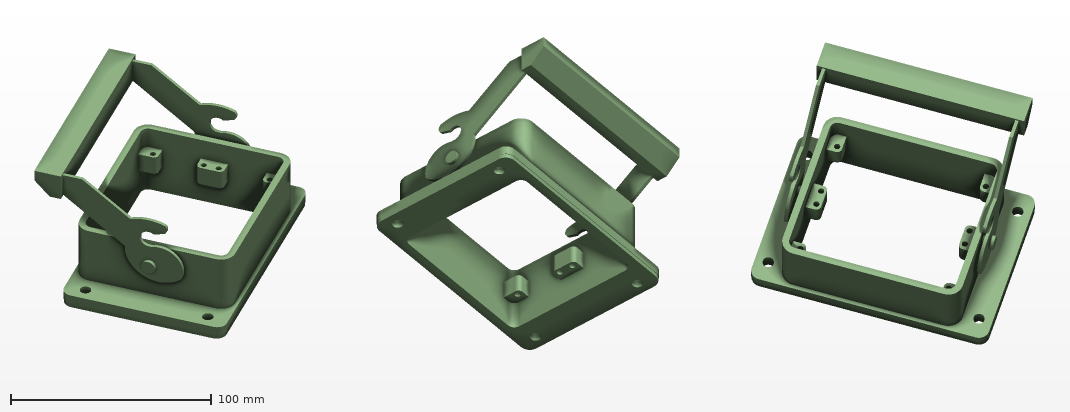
import cadquery as cq
import math

gasket_thickness = 2.4
flange_top = 7.2
flange_length = 124.0
flange_width = 86.5
flange_corner_radius = 5.2
gasket_width = 86.0
gasket_corner_radius = 5.5
screw_hole_diameter = 5.7
screw_spacing_x = 65.0
screw_spacing_y = 110.1

wall_top = 37.8
wall_thickness = 3.5
box_width = 82.6
box_length = 94.0
box_corner_radius = 7.5
opening_width = box_width - 2 * wall_thickness
opening_length = box_length - 2 * wall_thickness
opening_corner_radius = box_corner_radius - wall_thickness

boss_top = 26.3
boss_height = 10.2
boss_depth = 7.5
boss_edge_radius = 2.5
boss_hole_diameter = 3.1
boss_hole_y = 38.8
corner_boss_inner_x = 27.8
corner_boss_hole_x = 31.0
middle_boss_half_width = 7.2
middle_boss_hole_x = 4.0

pivot_z = 28.0
pin_radius = 2.5
pin_head_radius = 3.6
pin_head_thickness = 1.9

arm_inner_y = 49.6
arm_thickness = 1.7
arm_outer_y = arm_inner_y + arm_thickness
grip_left = -60.0
grip_right = -45.9
grip_bottom = 59.8
grip_top = 73.8
grip_chamfer = 8.2
grip_length = 108.4

shank_top_z = 72.7
shank_top_end_x = -35.7
shank_bottom_z = 60.6
elbow = (-9.9, 54.4)
neck_x = -12.9
neck_top_z = 37.1

finger_crown = (0.4, 56.3)
finger_tip_x = 9.4
finger_end_x = 8.0
finger_end_top_z = 54.9
finger_end_bottom_z = 49.8

notch_center = (-0.4, 44.5)
notch_radius = 4.5
notch_mouth_x = 2.4
lobe_center = (5.3, pivot_z)
lobe_radius = 12.6
belly_center = (4.8, 37.2)
belly_radius = 18.0
heel_radius = 4.3


def point_at_x(center, radius, x, side):
    """Point on a circle at a given x, on its upper (side=1) or lower (side=-1) half."""
    return (x, center[1] + side * math.sqrt(radius**2 - (x - center[0])**2))


def rounded_block(width, length, corner_radius, bottom, top):
    return (
        cq.Workplane("XY", origin=(0, 0, bottom))
        .rect(width, length)
        .extrude(top - bottom)
        .edges("|Z")
        .fillet(corner_radius)
    )


def cylinder_along_y(radius, start_y, end_y):
    """Cylinder on the pivot axis between two y positions, start_y being the smaller."""
    return (
        cq.Workplane("XZ", origin=(0, start_y, pivot_z))
        .circle(radius)
        .extrude(start_y - end_y)
    )


def box_block():
    return rounded_block(box_width, box_length, box_corner_radius, gasket_thickness, wall_top)


def box_opening():
    return rounded_block(opening_width, opening_length, opening_corner_radius, 0, wall_top)


def screw_holes():
    return (
        cq.Workplane("XY")
        .rect(screw_spacing_x, screw_spacing_y, forConstruction=True)
        .vertices()
        .circle(screw_hole_diameter / 2)
        .extrude(flange_top)
    )


def boss(start_x, end_x, rounded_edges, hole_xs):
    """Boss on the +Y wall between two x positions, with through holes."""
    inner_y = opening_length / 2 - boss_depth
    outer_y = box_length / 2 - wall_thickness / 2
    body = (
        cq.Workplane("XY", origin=(0, 0, boss_top - boss_height))
        .moveTo(start_x, inner_y)
        .lineTo(end_x, inner_y)
        .lineTo(end_x, outer_y)
        .lineTo(start_x, outer_y)
        .close()
        .extrude(boss_height)
        .edges(rounded_edges)
        .fillet(boss_edge_radius)
    )
    holes = (
        cq.Workplane("XY", origin=(0, 0, boss_top - boss_height))
        .pushPoints([(x, boss_hole_y) for x in hole_xs])
        .circle(boss_hole_diameter / 2)
        .extrude(boss_height)
    )
    return body.cut(holes)


def wall_bosses():
    """The three bosses of the +Y wall, the corner ones following the round corner of the box."""
    corner_end = box_width / 2 - wall_thickness / 2
    corner = boss(
        corner_boss_inner_x, corner_end, "|Z and <X and <Y", [corner_boss_hole_x]
    ).intersect(box_block())
    middle = boss(
        -middle_boss_half_width,
        middle_boss_half_width,
        "|Z and <Y",
        [-middle_boss_hole_x, middle_boss_hole_x],
    )
    return [middle, corner, corner.mirror("YZ")]


def pivot_pin():
    """Headed pin on the +Y wall."""
    shank = cylinder_along_y(pin_radius, box_length / 2 - wall_thickness / 2, arm_outer_y)
    head = cylinder_along_y(pin_head_radius, arm_outer_y, arm_outer_y + pin_head_thickness)
    return shank.union(head)


def make_housing():
    flange = rounded_block(
        flange_width, flange_length, flange_corner_radius, gasket_thickness, flange_top
    )
    housing = flange.union(box_block()).cut(box_opening()).cut(screw_holes())
    for feature in [*wall_bosses(), pivot_pin()]:
        housing = housing.union(feature).union(feature.mirror("XZ"))
    return housing


def make_gasket():
    gasket = rounded_block(gasket_width, flange_length, gasket_corner_radius, 0, gasket_thickness)
    return gasket.cut(box_opening()).cut(screw_holes())


def heel_arc():
    """Start, middle and end of the rounding inside both the lobe and the belly circle."""
    from_lobe = lobe_radius - heel_radius
    from_belly = belly_radius - heel_radius
    dx = lobe_center[0] - belly_center[0]
    dz = lobe_center[1] - belly_center[1]
    distance = math.hypot(dx, dz)
    along = (from_belly**2 - from_lobe**2 + distance**2) / (2 * distance)
    across = math.sqrt(from_belly**2 - along**2)
    center_x = belly_center[0] + (along * dx - across * dz) / distance
    center_z = belly_center[1] + (along * dz + across * dx) / distance
    lobe_angle = math.atan2(center_z - lobe_center[1], center_x - lobe_center[0])
    belly_angle = math.atan2(center_z - belly_center[1], center_x - belly_center[0])
    angles = (lobe_angle, (lobe_angle + belly_angle) / 2, belly_angle)
    return [
        (center_x + heel_radius * math.cos(angle), center_z + heel_radius * math.sin(angle))
        for angle in angles
    ]


def lever_arm():
    """Flat arm on the +Y side, with its pivot hole."""
    notch_bottom = (notch_center[0], notch_center[1] - notch_radius)
    notch_left = (notch_center[0] - notch_radius, notch_center[1])
    notch_mouth = point_at_x(notch_center, notch_radius, notch_mouth_x, 1)
    lobe_start_x = lobe_center[0] - math.sqrt(lobe_radius**2 - (notch_bottom[1] - pivot_z)**2)
    lobe_middle_angle = math.radians(45)
    lobe_middle = (
        lobe_center[0] + lobe_radius * math.cos(lobe_middle_angle),
        lobe_center[1] + lobe_radius * math.sin(lobe_middle_angle),
    )
    heel_start, heel_middle, heel_end = heel_arc()
    neck_bottom = point_at_x(belly_center, belly_radius, neck_x, -1)
    belly_middle = (belly_center[0], belly_center[1] - belly_radius)
    arm = (
        cq.Workplane("XZ", origin=(0, arm_inner_y, 0))
        .moveTo(grip_right, shank_bottom_z)
        .lineTo(grip_right, shank_top_z)
        .lineTo(shank_top_end_x, shank_top_z)
        .lineTo(*elbow)
        .threePointArc(finger_crown, (finger_end_x, finger_end_top_z))
        .threePointArc(
            (finger_tip_x, (finger_end_top_z + finger_end_bottom_z) / 2),
            (finger_end_x, finger_end_bottom_z),
        )
        .lineTo(*notch_mouth)
        .threePointArc(notch_left, notch_bottom)
        .lineTo(lobe_start_x, notch_bottom[1])
        .threePointArc(lobe_middle, heel_start)
        .threePointArc(heel_middle, heel_end)
        .threePointArc(belly_middle, neck_bottom)
        .lineTo(neck_x, neck_top_z)
        .close()
        .extrude(-arm_thickness)
    )
    return arm.cut(cylinder_along_y(pin_radius, arm_inner_y, arm_outer_y))


def make_lever():
    grip = (
        cq.Workplane("XZ", origin=(0, grip_length / 2, 0))
        .moveTo(grip_left, grip_top)
        .lineTo(grip_right, grip_top)
        .lineTo(grip_right, grip_bottom)
        .lineTo(grip_left + grip_chamfer, grip_bottom)
        .lineTo(grip_left, grip_bottom + grip_chamfer)
        .close()
        .extrude(grip_length)
    )
    arm = lever_arm()
    return grip.union(arm).union(arm.mirror("XZ"))


housing = make_housing()
gasket = make_gasket()
lever = make_lever()

result = cq.Compound.makeCompound([body.solids().val() for body in (housing, gasket, lever)])